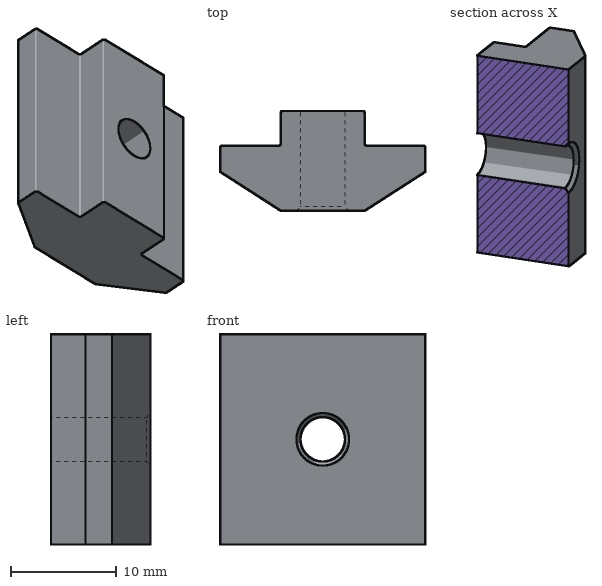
import cadquery as cq
import math

width = 19.5
depth = 9.5
length = 20.0

neck_width = 8.0
neck_depth = 3.3
flange_thickness = 2.5
face_width = 8.0

corner_radius = 0.2
inner_corner_radius = 0.2
bevel_edge_radius = 0.3

hole_diameter = 4.2
countersink_diameter = 5.0
countersink_slope = 45.0

front_y = -depth / 2
back_y = depth / 2
shoulder_y = back_y - neck_depth
bevel_top_y = shoulder_y - flange_thickness


def round_edges(body, points, radius):
    """Fillet the lengthwise edges that pass through the mirrored (x, y) points."""
    reach = radius / 4
    for x, y in points:
        for side in (-1, 1):
            corner = (side * x - reach, y - reach, -length)
            opposite_corner = (side * x + reach, y + reach, length)
            edge = body.edges(cq.selectors.BoxSelector(corner, opposite_corner))
            body = edge.fillet(radius)
    return body


def make_body():
    """T-shaped section with a bevelled front, extruded along Z."""
    right_half = [
        (0, front_y),
        (face_width / 2, front_y),
        (width / 2, bevel_top_y),
        (width / 2, shoulder_y),
        (neck_width / 2, shoulder_y),
        (neck_width / 2, back_y),
        (0, back_y),
    ]
    section = cq.Workplane("XY").polyline(right_half).mirrorY()
    body = section.extrude(length / 2, both=True)

    outer_corners = [(neck_width / 2, back_y), (width / 2, shoulder_y)]
    inner_corners = [(neck_width / 2, shoulder_y)]
    bevel_edges = [(face_width / 2, front_y)]
    body = round_edges(body, outer_corners, corner_radius)
    body = round_edges(body, inner_corners, inner_corner_radius)
    return round_edges(body, bevel_edges, bevel_edge_radius)


def drill_hole(body):
    """Through hole along Y, chamfered at the front face."""
    chamfer_width = (countersink_diameter - hole_diameter) / 2
    chamfer_depth = chamfer_width / math.tan(math.radians(countersink_slope))
    front_plane = cq.Plane(origin=(0, front_y, 0), xDir=(1, 0, 0), normal=(0, 1, 0))
    drill = cq.Workplane(front_plane).circle(hole_diameter / 2).extrude(depth)
    mouth = cq.Workplane(front_plane).circle(countersink_diameter / 2)
    countersink = mouth.extrude(chamfer_depth, taper=countersink_slope)
    return body.cut(drill).cut(countersink)


result = drill_hole(make_body())